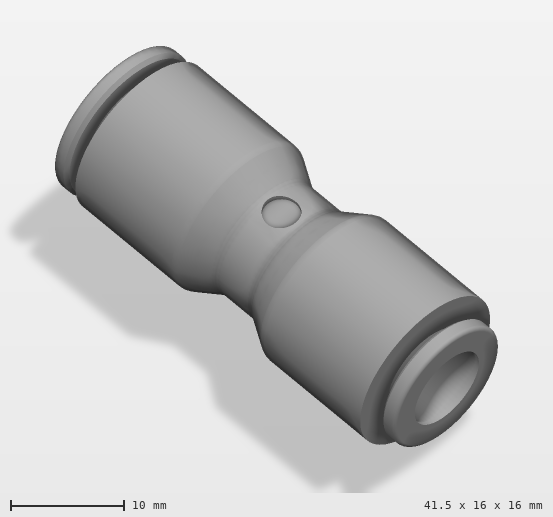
import cadquery as cq
import math

TOTAL_LENGTH = 41.5
LEFT_END = -TOTAL_LENGTH / 2
RIGHT_END = TOTAL_LENGTH / 2

BODY_RADIUS = 8.0
BODY_LENGTH = 35.75
BODY_CENTER_X = 0.15
BODY_LEFT = BODY_CENTER_X - BODY_LENGTH / 2
BODY_RIGHT = BODY_CENTER_X + BODY_LENGTH / 2

NECK_RADIUS = 6.1
NECK_HALF_LENGTH = 2.18
CONE_ANGLE = math.radians(30)
CONE_LENGTH = (BODY_RADIUS - NECK_RADIUS) / math.tan(CONE_ANGLE)
WAIST_ROUND = 1.2

LEFT_FLANGE_RADIUS = 7.75
LEFT_FLANGE_WIDTH = 1.65
LEFT_SLEEVE_RADIUS = 5.35
LEFT_FLANGE_CHAMFER = 0.37
RIGHT_FLANGE_RADIUS = 6.5
RIGHT_FLANGE_WIDTH = 1.6
RIGHT_SLEEVE_RADIUS = 4.6
RIGHT_FLANGE_CHAMFER = 0.27
FLANGE_ROUND = 0.37

LEFT_BORE_RADIUS = 4.75
RIGHT_BORE_RADIUS = 3.95
BORE_STEP_X = 0.0

RECESS_RADIUS = 1.75
RECESS_FLOOR_Z = 5.5


def cylinder_along_x(radius, x_start, x_end):
    """Solid cylinder on the X axis between two stations."""
    return cq.Workplane("YZ", origin=(x_start, 0, 0)).circle(radius).extrude(x_end - x_start)


def make_body():
    """Turned body with the waist corners rounded."""
    neck_left = BODY_CENTER_X - NECK_HALF_LENGTH
    neck_right = BODY_CENTER_X + NECK_HALF_LENGTH
    profile = (
        cq.Workplane("XY")
        .moveTo(BODY_LEFT, 0)
        .lineTo(BODY_LEFT, BODY_RADIUS)
        .lineTo(neck_left - CONE_LENGTH, BODY_RADIUS)
        .lineTo(neck_left, NECK_RADIUS)
        .lineTo(neck_right, NECK_RADIUS)
        .lineTo(neck_right + CONE_LENGTH, BODY_RADIUS)
        .lineTo(BODY_RIGHT, BODY_RADIUS)
        .lineTo(BODY_RIGHT, 0)
        .close()
    )
    body = profile.revolve(360, (0, 0, 0), (1, 0, 0))
    waist_reach = NECK_HALF_LENGTH + CONE_LENGTH + WAIST_ROUND
    waist_zone = cq.selectors.BoxSelector(
        (BODY_CENTER_X - waist_reach, -BODY_RADIUS, -BODY_RADIUS),
        (BODY_CENTER_X + waist_reach, BODY_RADIUS, BODY_RADIUS),
    )
    return body.edges("%CIRCLE").edges(waist_zone).fillet(WAIST_ROUND)


def make_flange(radius, width, x_start, outer_face, inner_face, inner_chamfer):
    """Collar flange, rounded at the end face and chamfered on the body side."""
    flange = cylinder_along_x(radius, x_start, x_start + width)
    flange = flange.faces(outer_face).edges().fillet(FLANGE_ROUND)
    return flange.faces(inner_face).edges().chamfer(inner_chamfer)


def make_left_collar():
    sleeve = cylinder_along_x(LEFT_SLEEVE_RADIUS, LEFT_END + FLANGE_ROUND, BODY_CENTER_X)
    flange = make_flange(
        LEFT_FLANGE_RADIUS, LEFT_FLANGE_WIDTH, LEFT_END, "<X", ">X", LEFT_FLANGE_CHAMFER
    )
    return sleeve.union(flange)


def make_right_collar():
    sleeve = cylinder_along_x(RIGHT_SLEEVE_RADIUS, BODY_CENTER_X, RIGHT_END - FLANGE_ROUND)
    flange_start = RIGHT_END - RIGHT_FLANGE_WIDTH
    flange = make_flange(
        RIGHT_FLANGE_RADIUS, RIGHT_FLANGE_WIDTH, flange_start, ">X", "<X", RIGHT_FLANGE_CHAMFER
    )
    return sleeve.union(flange)


def make_bore():
    wide_bore = cylinder_along_x(LEFT_BORE_RADIUS, LEFT_END, BORE_STEP_X)
    narrow_bore = cylinder_along_x(RIGHT_BORE_RADIUS, LEFT_END, RIGHT_END)
    return wide_bore.union(narrow_bore)


def make_recess():
    recess_height = BODY_RADIUS - RECESS_FLOOR_Z
    return cq.Workplane("XY", origin=(0, 0, RECESS_FLOOR_Z)).circle(RECESS_RADIUS).extrude(recess_height)


outer_shape = make_body().union(make_left_collar()).union(make_right_collar())
result = outer_shape.cut(make_bore()).cut(make_recess())